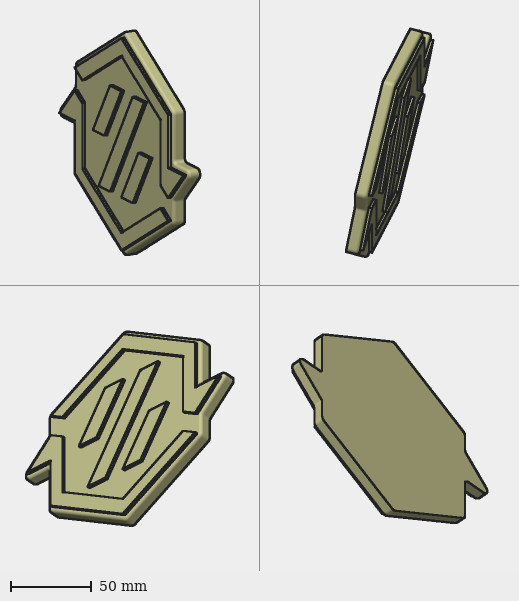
import cadquery as cq
import math

overall_length = 164.0
overall_height = 143.5
overall_thickness = 10.0
trim_height = 2.0
plate_margin = 3.5
inner_corner_diameter = 4.8
rim_radius = 2.0
trim_width = 9.8
bar_width = 14.5
bar_lean = 21.5
side_bar_shift = 28.7

slope = math.tan(math.radians(30))
trim_apex = overall_height / 2 - plate_margin
trim_shoulder = trim_apex / 2
trim_flat = trim_shoulder / slope
tail_tip = overall_length / 2 - plate_margin
tail_root = tail_tip - trim_flat
inner_flat = trim_flat - trim_width
inner_shoulder = inner_flat * slope
inner_apex = 2 * inner_shoulder
plate_back = overall_thickness / 2
trim_front = -overall_thickness / 2
plate_front = trim_front + trim_height


def half_turn(points):
    """The same XZ points turned half a turn about the centre."""
    return [(-x, -z) for x, z in points]


def prism(points, back, front):
    """Solid with an XZ outline, filling Y from front to back."""
    return cq.Workplane("XZ", origin=(0, back, 0)).polyline(points).close().extrude(back - front)


lower_outline = [
    (trim_flat, -trim_shoulder),
    (0, -trim_apex),
    (-trim_flat, -trim_shoulder),
    (-trim_flat, 0),
    (-tail_tip, 0),
    (-trim_flat, tail_root),
]

lower_inner_outline = [
    (-inner_flat, tail_root - trim_width * slope),
    (-inner_flat, -inner_shoulder),
    (0, -inner_apex),
    (inner_flat, -inner_shoulder),
]


def make_plate():
    """Backing plate: both tailed halves grown by the margin, with a rounded front edge."""
    outline = (
        cq.Workplane("XZ", origin=(0, plate_back, 0))
        .polyline(lower_outline + half_turn(lower_outline))
        .close()
        .offset2D(plate_margin, "arc")
    )
    plate = outline.extrude(plate_back - plate_front)

    corner_x = trim_flat + plate_margin
    root_z = tail_root + plate_margin * (math.sqrt(2) - 1)
    left_corners = [(-corner_x, -plate_margin), (-corner_x, root_z)]
    for x, z in left_corners + half_turn(left_corners):
        corner = cq.selectors.NearestToPointSelector((x, (plate_back + plate_front) / 2, z))
        plate = plate.edges("|Y").edges(corner).fillet(inner_corner_diameter / 2)

    return plate.faces("<Y").edges().fillet(rim_radius)


def make_trim(outline):
    """One half of the raised band, tail included."""
    return prism(outline, plate_front, trim_front)


def make_bar(middle, bottom, top):
    """Leaning bar between two heights; middle is where its centre line crosses Z = 0."""
    lean = bar_lean / trim_shoulder
    half_width = bar_width / 2
    low = middle + lean * bottom
    high = middle + lean * top
    outline = [
        (low - half_width, bottom),
        (low + half_width, bottom),
        (high + half_width, top),
        (high - half_width, top),
    ]
    return prism(outline, plate_front, trim_front)


plate = make_plate()

lower_trim_outline = lower_outline + lower_inner_outline
trims = [make_trim(outline) for outline in (lower_trim_outline, half_turn(lower_trim_outline))]

bar_places = [
    (-side_bar_shift, 0, trim_shoulder),
    (0, -trim_shoulder, trim_shoulder),
    (side_bar_shift, -trim_shoulder, 0),
]
bars = [make_bar(*place) for place in bar_places]

result = cq.Compound.makeCompound([plate.val(), *[body.val() for body in trims + bars]])